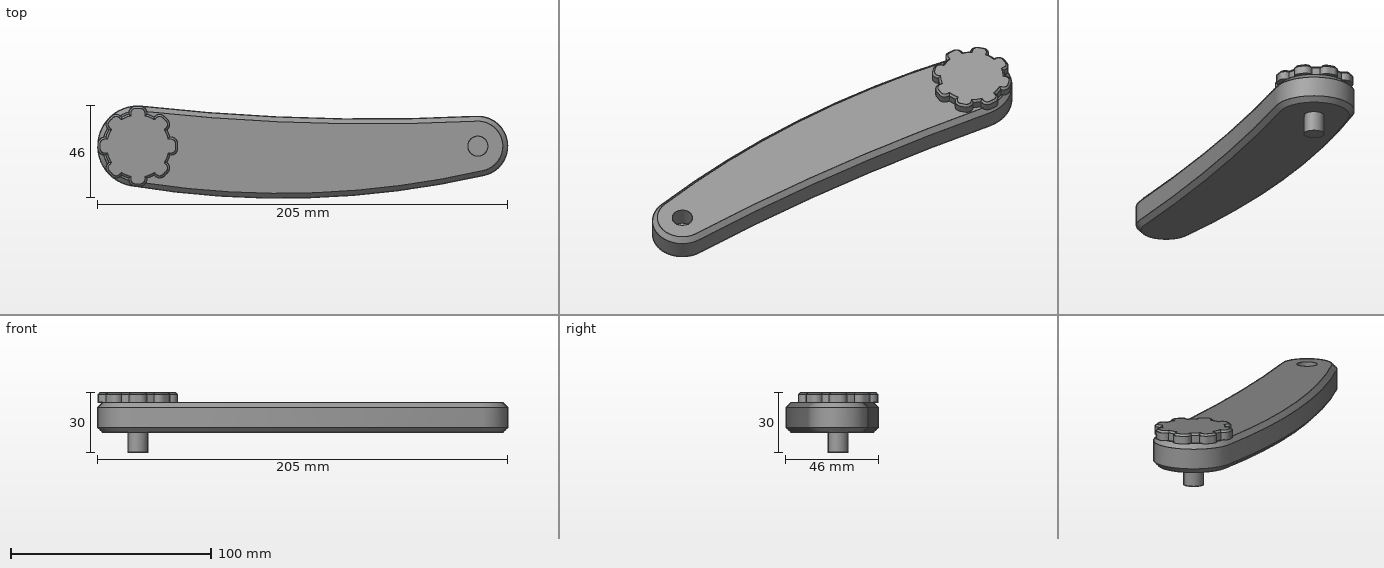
import cadquery as cq
import math


overall_length = 205.0
knob_end_radius = 20.0
hole_end_radius = 15.0
arm_thickness = 15.0
arm_chamfer = 2.5
concave_radius = 1025.0
convex_radius = 455.0
axis_spacing = overall_length - knob_end_radius - hole_end_radius

hole_diameter = 10.0
hole_depth = 10.0

pin_diameter = 10.0
pin_length = 10.0

knob_height = 5.0
knob_chamfer = 1.0
knob_core_radius = 16.6
lobe_count = 8
lobe_reach = 19.9
lobe_width = 9.0
lobe_tip_fillet = 3.3


def point_toward(start, target, distance):
    """Point at the given distance from start, along the line to target."""
    span = math.dist(start, target)
    return tuple(s + (t - s) * distance / span for s, t in zip(start, target))


def side_arc_centre(knob_distance, hole_distance, side):
    """Centre of a long edge, from its distances to the two end centres (side is +1 or -1 in Y)."""
    x = (knob_distance**2 - hole_distance**2 + axis_spacing**2) / (2 * axis_spacing)
    return x, side * math.sqrt(knob_distance**2 - x**2)


def make_arm():
    knob_end = (0.0, 0.0)
    hole_end = (axis_spacing, 0.0)

    concave_centre = side_arc_centre(concave_radius + knob_end_radius, concave_radius + hole_end_radius, 1)
    convex_centre = side_arc_centre(convex_radius - knob_end_radius, convex_radius - hole_end_radius, 1)

    upper_knob = point_toward(knob_end, concave_centre, knob_end_radius)
    upper_hole = point_toward(hole_end, concave_centre, hole_end_radius)
    lower_knob = point_toward(knob_end, convex_centre, -knob_end_radius)
    lower_hole = point_toward(hole_end, convex_centre, -hole_end_radius)
    concave_middle = (concave_centre[0], concave_centre[1] - concave_radius)
    convex_middle = (convex_centre[0], convex_centre[1] - convex_radius)

    return (
        cq.Workplane("XY")
        .moveTo(*upper_knob)
        .threePointArc(concave_middle, upper_hole)
        .threePointArc((axis_spacing + hole_end_radius, 0), lower_hole)
        .threePointArc(convex_middle, lower_knob)
        .threePointArc((-knob_end_radius, 0), upper_knob)
        .close()
        .extrude(arm_thickness)
        .faces("|Z")
        .chamfer(arm_chamfer)
    )


def make_knob():
    base = cq.Workplane("XY").workplane(offset=arm_thickness)
    lobe = (
        base.rect(lobe_reach, lobe_width)
        .extrude(knob_height)
        .translate((lobe_reach / 2, 0, 0))
        .edges("|Z and >X")
        .fillet(lobe_tip_fillet)
    )
    knob = base.circle(knob_core_radius).extrude(knob_height)
    for i in range(lobe_count):
        knob = knob.union(lobe.rotate((0, 0, 0), (0, 0, 1), i * 360 / lobe_count))
    return knob.faces(">Z").chamfer(knob_chamfer)


def make_pin():
    return cq.Workplane("XY").circle(pin_diameter / 2).extrude(-pin_length)


def make_hole():
    return (
        cq.Workplane("XY")
        .workplane(offset=arm_thickness)
        .center(axis_spacing, 0)
        .circle(hole_diameter / 2)
        .extrude(-hole_depth)
    )


result = make_arm().cut(make_hole()).union(make_knob()).union(make_pin())